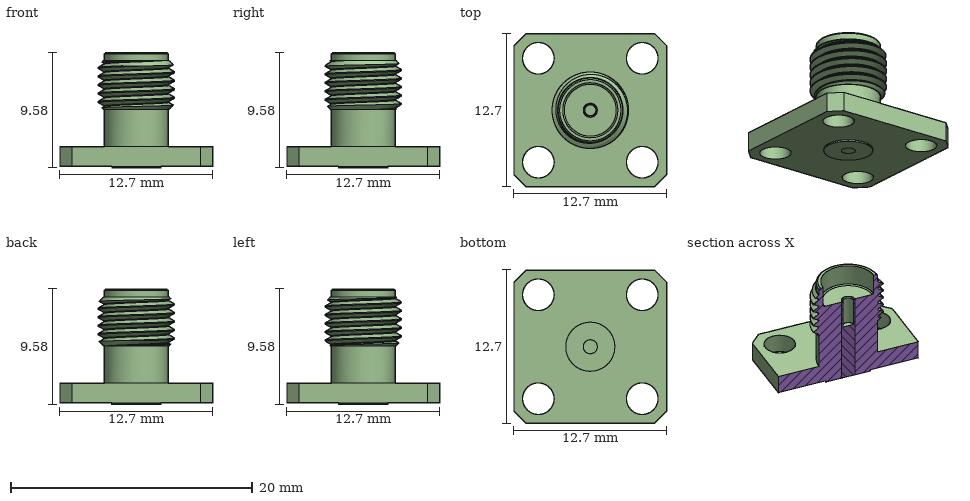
import cadquery as cq
import math

FLANGE_SIDE = 12.7
FLANGE_THICKNESS = 1.65
CORNER_CHAMFER = 1.0
MOUNT_HOLE_DIAMETER = 2.6
MOUNT_HOLE_SPACING = 8.62

BOSS_DIAMETER = 4.08
BOSS_HEIGHT = 0.13

TOTAL_HEIGHT = 9.58
BARREL_DIAMETER = 5.33
RIM_CHAMFER = 0.13
BORE_DIAMETER = 4.57
BORE_FLOOR_DIAMETER = 4.3
BORE_DEPTH = 1.9
FLOOR_CONE_HEIGHT = 0.08

THREAD_MAJOR_DIAMETER = 6.35
THREAD_ROOT_DIAMETER = 5.41
THREAD_BEVEL_START_DIAMETER = 5.44
THREAD_TOP_BELOW_RIM = 0.65
THREAD_LENGTH = 4.08
THREAD_PITCH = 0.706
THREAD_FLANK_ANGLE = 30.0
THREAD_ROOT_FLAT = 0.08
LOWEST_GROOVE_BELOW_RIM = 5.51
GROOVE_TURNS = 8
GROOVE_OVERCUT = 0.06

CONTACT_DIAMETER = 1.17
SOCKET_MOUTH_DIAMETER = 1.09
SOCKET_DIAMETER = 0.91
SOCKET_DEPTH = 2.54

BOTTOM_Z = -BOSS_HEIGHT
RIM_Z = TOTAL_HEIGHT - BOSS_HEIGHT
BORE_FLOOR_Z = RIM_Z - BORE_DEPTH
THREAD_TOP_Z = RIM_Z - THREAD_TOP_BELOW_RIM
THREAD_BOTTOM_Z = THREAD_TOP_Z - THREAD_LENGTH


def cylinder(diameter, bottom_z, top_z):
    """An upright cylinder on the Z axis."""
    return cq.Workplane("XY").workplane(offset=bottom_z).circle(diameter / 2).extrude(top_z - bottom_z)


def revolved(outline):
    """A solid of revolution about the Z axis, from (radius, z) points."""
    return cq.Workplane("XZ").polyline(outline).close().revolve(360, (0, 0), (0, 1))


def make_flange():
    """Square plate with chamfered corners and four mounting holes."""
    plate = (
        cq.Workplane("XY")
        .rect(FLANGE_SIDE, FLANGE_SIDE)
        .extrude(FLANGE_THICKNESS)
        .edges("|Z")
        .chamfer(CORNER_CHAMFER)
    )
    holes = (
        cq.Workplane("XY")
        .rect(MOUNT_HOLE_SPACING, MOUNT_HOLE_SPACING, forConstruction=True)
        .vertices()
        .circle(MOUNT_HOLE_DIAMETER / 2)
        .extrude(FLANGE_THICKNESS)
    )
    return plate.cut(holes)


def make_barrel():
    """Turned barrel with a chamfered rim and the thread's blank, bevelled at 45 degrees at both ends."""
    barrel_radius = BARREL_DIAMETER / 2
    blank_radius = THREAD_MAJOR_DIAMETER / 2
    bevel_start_radius = THREAD_BEVEL_START_DIAMETER / 2
    bevel = blank_radius - bevel_start_radius
    outline = [
        (0, FLANGE_THICKNESS),
        (barrel_radius, FLANGE_THICKNESS),
        (barrel_radius, THREAD_BOTTOM_Z),
        (bevel_start_radius, THREAD_BOTTOM_Z),
        (blank_radius, THREAD_BOTTOM_Z + bevel),
        (blank_radius, THREAD_TOP_Z - bevel),
        (bevel_start_radius, THREAD_TOP_Z),
        (barrel_radius, THREAD_TOP_Z),
        (barrel_radius, RIM_Z - RIM_CHAMFER),
        (barrel_radius - RIM_CHAMFER, RIM_Z),
        (0, RIM_Z),
    ]
    return revolved(outline)


def make_bore():
    """Cutter for the open bore, which tapers to its flat floor."""
    floor_radius = BORE_FLOOR_DIAMETER / 2
    bore_radius = BORE_DIAMETER / 2
    outline = [
        (0, BORE_FLOOR_Z),
        (floor_radius, BORE_FLOOR_Z),
        (bore_radius, BORE_FLOOR_Z + FLOOR_CONE_HEIGHT),
        (bore_radius, RIM_Z),
        (0, RIM_Z),
    ]
    return revolved(outline)


def make_thread_groove():
    """Helical cutter with a truncated V section, running out past both ends of the thread."""
    root_radius = THREAD_ROOT_DIAMETER / 2
    outer_radius = THREAD_MAJOR_DIAMETER / 2 + GROOVE_OVERCUT
    start_z = RIM_Z - LOWEST_GROOVE_BELOW_RIM
    root_half = THREAD_ROOT_FLAT / 2
    outer_half = root_half + (outer_radius - root_radius) * math.tan(math.radians(THREAD_FLANK_ANGLE))
    corners = [
        (root_radius, start_z - root_half),
        (outer_radius, start_z - outer_half),
        (outer_radius, start_z + outer_half),
        (root_radius, start_z + root_half),
    ]
    length = THREAD_PITCH * GROOVE_TURNS
    helices = [
        cq.Wire.makeHelix(THREAD_PITCH, length, radius, center=cq.Vector(0, 0, z)) for radius, z in corners
    ]
    next_helices = helices[1:] + helices[:1]
    faces = []
    for helix, next_helix in zip(helices, next_helices):
        faces.extend(cq.Face.makeRuledSurface(helix, next_helix).Faces())
    for end_rise in (0, length):
        points = [cq.Vector(radius, 0, z + end_rise) for radius, z in corners]
        faces.append(cq.Face.makeFromWires(cq.Wire.makePolygon(points, close=True)))
    return cq.Solid.makeSolid(cq.Shell.makeShell(faces))


def make_housing():
    """Flange, boss and threaded barrel, with the bore and the hole for the contact."""
    boss = cylinder(BOSS_DIAMETER, BOTTOM_Z, 0)
    contact_hole = cylinder(CONTACT_DIAMETER, BOTTOM_Z, BORE_FLOOR_Z)
    barrel = make_barrel().cut(make_thread_groove())
    return make_flange().union(boss).union(barrel).cut(make_bore()).cut(contact_hole)


def make_contact():
    """Centre contact, flush with the bore floor and the boss, with a countersunk blind socket."""
    contact_radius = CONTACT_DIAMETER / 2
    mouth_radius = SOCKET_MOUTH_DIAMETER / 2
    socket_radius = SOCKET_DIAMETER / 2
    socket_floor_z = BORE_FLOOR_Z - SOCKET_DEPTH
    outline = [
        (0, BOTTOM_Z),
        (contact_radius, BOTTOM_Z),
        (contact_radius, BORE_FLOOR_Z),
        (mouth_radius, BORE_FLOOR_Z),
        (socket_radius, BORE_FLOOR_Z - (mouth_radius - socket_radius)),
        (socket_radius, socket_floor_z),
        (0, socket_floor_z),
    ]
    return revolved(outline)


housing = make_housing()
contact = make_contact()
result = cq.Compound.makeCompound([housing.val(), contact.val()])